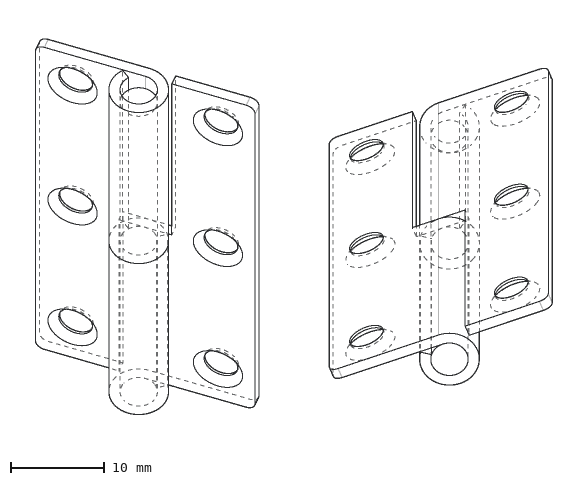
import cadquery as cq
import math


leaf_height = 50.0
hinge_width = 25.0
thickness = 1.2
corner_radius = 1.0
relief_edge = 3.0

knuckle_radius = 3.19
bore_radius = knuckle_radius - thickness
roll_end_angle = 143.0

hole_offset = 8.25
hole_pitch = 20.0
hole_diameter = 3.8
countersink_diameter = 5.6
countersink_angle = 90.0

overall_height = 51.0
pin_radius = bore_radius
dome_height = overall_height - leaf_height
pin_length = leaf_height

half_height = leaf_height / 2
half_width = hinge_width / 2


def on_circle(radius, angle):
    """Point on a circle about the pin axis, angle in degrees from +X."""
    return (radius * math.cos(math.radians(angle)), radius * math.sin(math.radians(angle)))


def make_plate():
    """Flat leaf, full height, ending at the relief edge, with rounded outer corners."""
    plate = (
        cq.Workplane("XY", origin=(0, 0, -half_height))
        .moveTo(-half_width, bore_radius)
        .lineTo(-relief_edge, bore_radius)
        .lineTo(-relief_edge, knuckle_radius)
        .lineTo(-half_width, knuckle_radius)
        .close()
        .extrude(leaf_height)
    )
    return plate.edges("|Y and <X").fillet(corner_radius)


def make_knuckle():
    """Strip that continues the plate and rolls clockwise round the pin, upper half only."""
    mid_angle = (90 + roll_end_angle - 360) / 2
    return (
        cq.Workplane("XY")
        .moveTo(-relief_edge, knuckle_radius)
        .lineTo(0, knuckle_radius)
        .threePointArc(on_circle(knuckle_radius, mid_angle), on_circle(knuckle_radius, roll_end_angle))
        .lineTo(*on_circle(bore_radius, roll_end_angle))
        .threePointArc(on_circle(bore_radius, mid_angle), (0, bore_radius))
        .lineTo(-relief_edge, bore_radius)
        .close()
        .extrude(half_height)
    )


def cut_screw_holes(leaf):
    """Column of three holes, countersunk from the knuckle side."""
    return (
        leaf.copyWorkplane(cq.Workplane("XZ", origin=(-hole_offset, bore_radius, 0)))
        .rarray(0.5, hole_pitch, 1, 3)
        .cskHole(hole_diameter, countersink_diameter, countersink_angle)
    )


def make_leaf():
    """Left leaf, carrying the upper knuckle."""
    return cut_screw_holes(make_plate().union(make_knuckle()))


def make_pin():
    """Round pin with a shallow spherical dome on each end."""
    bottom_tip = -half_height - dome_height
    top_tip = bottom_tip + pin_length
    bottom_rim = bottom_tip + dome_height
    top_rim = top_tip - dome_height
    dome_radius = (pin_radius**2 + dome_height**2) / (2 * dome_height)
    half_arc = math.asin(pin_radius / dome_radius) / 2
    mid_radius = dome_radius * math.sin(half_arc)
    mid_drop = dome_radius * (1 - math.cos(half_arc))
    return (
        cq.Workplane("XZ")
        .moveTo(0, bottom_tip)
        .threePointArc((mid_radius, bottom_tip + mid_drop), (pin_radius, bottom_rim))
        .lineTo(pin_radius, top_rim)
        .threePointArc((mid_radius, top_tip - mid_drop), (0, top_tip))
        .close()
        .revolve(360, (0, 0, 0), (0, 1, 0))
    )


leaves = [make_leaf().rotate((0, 0, 0), (0, 1, 0), turn) for turn in (0, 180)]
pin = make_pin()

result = cq.Compound.makeCompound([*[leaf.val() for leaf in leaves], pin.val()])